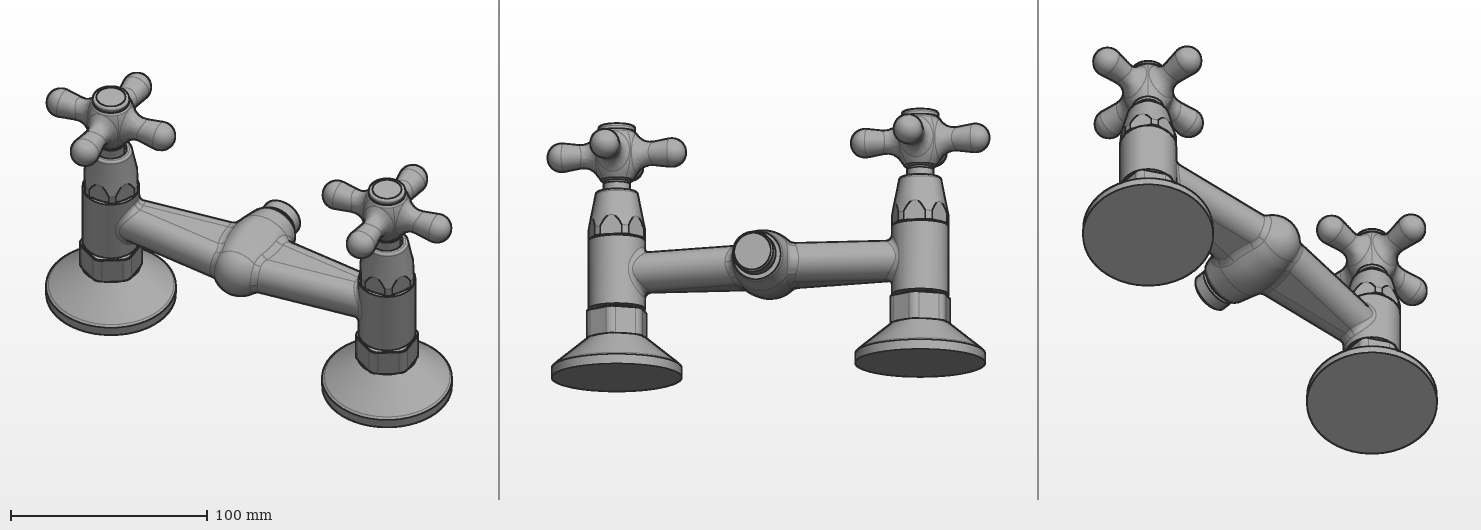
import cadquery as cq
import math

COLUMN_SPACING = 158.0

FLANGE_RADIUS = 33.1
FLANGE_RIM_HEIGHT = 5.0
FLANGE_RIM_CHAMFER = 1.2
FLANGE_TOP_RADIUS = 15.2
FLANGE_HEIGHT = 20.0

NUT_APOTHEM = 14.4
NUT_CORNER_FILLET = 5.0
NUT_CHAMFER = 0.4
NUT_TOP = 34.2
NUT_TURN = 30.0
NECK_RADIUS = 10.5

COLUMN_RADIUS = 14.5
COLUMN_BOTTOM = 35.6
COLUMN_TOP = 72.0
COLUMN_CHAMFER = 0.9

BONNET_APOTHEM = 13.4
BONNET_STRAIGHT_TOP = 76.6
BONNET_TOP = 96.4
BONNET_TOP_RADIUS = 10.6
BONNET_EDGE_FILLET = 1.5
RECESS_RADIUS = 8.1
RECESS_DEPTH = 3.0
STEM_RADIUS = 6.8
STEM_TOP = 100.6

BAR_Z = 53.9
BAR_RADIUS = 10.0
BAR_SPREAD_ANGLE = 6.2
COLUMN_FILLET = 3.0
BARREL_FILLET = 5.5

NOSE_RADIUS = 14.3
NOSE_TIP_Y = -23.1
NOSE_END_Y = -12.9
BELLY_Y = 2.0
BELLY_RADIUS = 16.6
SHOULDER_Y = 16.0
SHOULDER_RADIUS = 15.6
BARREL_END_Y = 27.4
BARREL_END_RADIUS = 13.1
BARREL_END_CHAMFER = 1.4
OUTLET_NECK_RADIUS = 9.0
OUTLET_COLLAR_Y = 29.3
OUTLET_COLLAR_RADIUS = 10.5
OUTLET_COLLAR_CHAMFER = 1.0
OUTLET_END_Y = 37.5

ARM_COUNT = 4
HANDLE_REACH = 36.0
ARM_Z = 115.8
KNOB_RADIUS = 7.4
ARM_TAPER_ANGLE = 8.5
ARM_FILLET = 9.0
HUB_FOOT_TOP = 101.7
HUB_BOTTOM = 102.6
HUB_BOTTOM_RADIUS = 8.0
HUB_RADIUS = 12.8
HUB_RIM_Z = 126.7
HUB_RIM_RADIUS = 10.1
CAP_BASE_Z = 127.8
CAP_NECK_RADIUS = 9.0
CAP_RADIUS = 9.35
CAP_SHOULDER_Z = 129.4
CAP_DOME_RADIUS = 7.4
CAP_DOME_HEIGHT = 0.6
HANDLE_TOP = 131.2

SEAM_TOLERANCE = 0.001

COLUMN_X = COLUMN_SPACING / 2
COLUMN_POSITIONS = (-COLUMN_X, COLUMN_X)


def turned(profile):
    """Close a half profile and revolve it about the upright axis of its own plane."""
    return profile.close().revolve(360, (0, 0), (0, 1))


def hexagon_prism(apothem, bottom, top):
    """Hexagonal prism between two heights, with a vertex on the X axis."""
    corner_diameter = 2 * apothem / math.cos(math.pi / 6)
    return cq.Workplane("XY").workplane(offset=bottom).polygon(6, corner_diameter).extrude(top - bottom)


def make_flange():
    profile = cq.Workplane("XZ").polyline([
        (0, 0),
        (FLANGE_RADIUS, 0),
        (FLANGE_RADIUS, FLANGE_RIM_HEIGHT),
        (FLANGE_RADIUS - FLANGE_RIM_CHAMFER, FLANGE_RIM_HEIGHT + FLANGE_RIM_CHAMFER),
        (FLANGE_TOP_RADIUS, FLANGE_HEIGHT),
        (0, FLANGE_HEIGHT),
    ])
    return turned(profile)


def make_nut():
    nut = hexagon_prism(NUT_APOTHEM, FLANGE_HEIGHT, NUT_TOP)
    nut = nut.edges("|Z").fillet(NUT_CORNER_FILLET)
    nut = nut.faces(">Z").chamfer(NUT_CHAMFER)
    return nut.rotate((0, 0, 0), (0, 0, 1), NUT_TURN)


def make_column():
    """Neck above the nut and the plain round column."""
    profile = cq.Workplane("XZ").polyline([
        (0, NUT_TOP),
        (NECK_RADIUS, NUT_TOP),
        (NECK_RADIUS, COLUMN_BOTTOM),
        (COLUMN_RADIUS, COLUMN_BOTTOM),
        (COLUMN_RADIUS, COLUMN_TOP - COLUMN_CHAMFER),
        (COLUMN_RADIUS - COLUMN_CHAMFER, COLUMN_TOP),
        (0, COLUMN_TOP),
    ])
    return turned(profile)


def make_bonnet():
    profile = cq.Workplane("XZ").polyline([
        (0, COLUMN_TOP),
        (COLUMN_RADIUS, COLUMN_TOP),
        (COLUMN_RADIUS, BONNET_STRAIGHT_TOP),
        (BONNET_TOP_RADIUS, BONNET_TOP),
        (0, BONNET_TOP),
    ])
    bonnet = turned(profile).faces(">Z").edges().fillet(BONNET_EDGE_FILLET)
    bonnet = bonnet.intersect(hexagon_prism(BONNET_APOTHEM, COLUMN_TOP, BONNET_TOP))
    recess_floor = BONNET_TOP - RECESS_DEPTH
    floor_plane = cq.Workplane("XY").workplane(offset=recess_floor)
    recess = floor_plane.circle(RECESS_RADIUS).extrude(RECESS_DEPTH)
    stem = floor_plane.circle(STEM_RADIUS).extrude(STEM_TOP - recess_floor)
    return bonnet.cut(recess).union(stem)


def make_center_barrel():
    """Rounded nose, bulging belly, tapered shoulder and outlet collar in one turning."""
    nose_center_y = NOSE_TIP_Y + NOSE_RADIUS
    nose_end_radius = math.sqrt(NOSE_RADIUS**2 - (NOSE_END_Y - nose_center_y) ** 2)
    nose_mid = NOSE_RADIUS * math.sqrt(0.5)
    collar_edge_radius = OUTLET_COLLAR_RADIUS - OUTLET_COLLAR_CHAMFER
    profile = (
        cq.Workplane("XY")
        .moveTo(0, NOSE_TIP_Y)
        .threePointArc((nose_mid, nose_center_y - nose_mid), (nose_end_radius, NOSE_END_Y))
        .threePointArc((BELLY_RADIUS, BELLY_Y), (SHOULDER_RADIUS, SHOULDER_Y))
        .lineTo(BARREL_END_RADIUS, BARREL_END_Y - BARREL_END_CHAMFER)
        .lineTo(BARREL_END_RADIUS - BARREL_END_CHAMFER / 2, BARREL_END_Y)
        .lineTo(OUTLET_NECK_RADIUS, BARREL_END_Y)
        .lineTo(OUTLET_NECK_RADIUS, OUTLET_COLLAR_Y)
        .lineTo(collar_edge_radius, OUTLET_COLLAR_Y)
        .lineTo(OUTLET_COLLAR_RADIUS, OUTLET_COLLAR_Y + OUTLET_COLLAR_CHAMFER)
        .lineTo(OUTLET_COLLAR_RADIUS, OUTLET_END_Y - OUTLET_COLLAR_CHAMFER)
        .lineTo(collar_edge_radius, OUTLET_END_Y)
        .lineTo(0, OUTLET_END_Y)
    )
    return turned(profile).translate((0, 0, BAR_Z))


def make_bar_half(side):
    """Flat-topped bar with round edges, widening from the column axis to the middle."""
    half_width = COLUMN_X * math.tan(math.radians(BAR_SPREAD_ANGLE))
    start = cq.Vector(side * COLUMN_X, 0, BAR_Z)
    bar = (
        cq.Workplane("XY")
        .workplane(offset=BAR_Z - BAR_RADIUS)
        .polyline([(start.x, 0), (0, half_width), (0, -half_width)])
        .close()
        .extrude(2 * BAR_RADIUS)
    )
    for end_y in (-half_width, half_width):
        run = cq.Vector(0, end_y, BAR_Z) - start
        bar = bar.union(cq.Workplane(cq.Solid.makeCylinder(BAR_RADIUS, run.Length, start, run)))
    return bar


def fillet_between(first, second, radius):
    """Join two shapes and fillet the seam, the edges whose middles touch both of them."""
    joined = first.union(second)

    def on_seam(edge):
        middle = cq.Vertex.makeVertex(*edge.positionAt(0.5).toTuple())
        return all(middle.distance(part.val()) < SEAM_TOLERANCE for part in (first, second))

    seam = [edge for edge in joined.edges().vals() if on_seam(edge)]
    return joined.newObject(seam).fillet(radius)


def make_mixer():
    bar = make_bar_half(-1).union(make_bar_half(1))
    barrel = make_center_barrel()
    body = fillet_between(bar, barrel, BARREL_FILLET)
    for x in COLUMN_POSITIONS:
        column = make_column().translate((x, 0, 0))
        body = fillet_between(body, column, COLUMN_FILLET)
    for x in COLUMN_POSITIONS:
        for piece in (make_flange(), make_nut(), make_bonnet()):
            body = body.union(piece.translate((x, 0, 0)))
    return body


def make_hub():
    profile = (
        cq.Workplane("XZ")
        .moveTo(0, STEM_TOP)
        .lineTo(STEM_RADIUS, STEM_TOP)
        .lineTo(STEM_RADIUS, HUB_FOOT_TOP)
        .lineTo(HUB_BOTTOM_RADIUS, HUB_BOTTOM)
        .threePointArc((HUB_RADIUS, ARM_Z), (HUB_RIM_RADIUS, HUB_RIM_Z))
        .lineTo(CAP_NECK_RADIUS, CAP_BASE_Z)
        .lineTo(0, CAP_BASE_Z)
    )
    return turned(profile)


def make_cap():
    """Round-shouldered cap with a shallow domed face on top of the hub."""
    dome_base_z = HANDLE_TOP - CAP_DOME_HEIGHT
    dome_sphere_radius = (CAP_DOME_RADIUS**2 + CAP_DOME_HEIGHT**2) / (2 * CAP_DOME_HEIGHT)
    profile = (
        cq.Workplane("XZ")
        .moveTo(0, CAP_BASE_Z)
        .lineTo(CAP_RADIUS, CAP_BASE_Z)
        .lineTo(CAP_RADIUS, CAP_SHOULDER_Z)
        .tangentArcPoint((CAP_DOME_RADIUS, dome_base_z), relative=False)
        .radiusArc((0, HANDLE_TOP), -dome_sphere_radius)
    )
    return turned(profile)


def make_arm():
    """Cone along +X that widens outwards and runs smoothly into a ball end."""
    taper = math.radians(ARM_TAPER_ANGLE)
    ball_center = HANDLE_REACH - KNOB_RADIUS
    joint_x = ball_center - KNOB_RADIUS * math.sin(taper)
    joint_radius = KNOB_RADIUS * math.cos(taper)
    ball_mid = KNOB_RADIUS * math.sqrt(0.5)
    profile = (
        cq.Workplane("XY")
        .lineTo(0, joint_radius - joint_x * math.tan(taper))
        .lineTo(joint_x, joint_radius)
        .threePointArc((ball_center + ball_mid, ball_mid), (HANDLE_REACH, 0))
        .close()
    )
    return profile.revolve(360, (0, 0), (1, 0)).translate((0, 0, ARM_Z))


def make_handle():
    """Quarters of the hub, each with its filleted arm, joined around the stem axis."""
    hub = make_hub().rotate((0, 0, 0), (0, 0, 1), 180)
    arm = make_arm()
    quarter = fillet_between(hub, arm, ARM_FILLET)
    sector_half_width = HANDLE_REACH * math.tan(math.pi / ARM_COUNT)
    sector = (
        cq.Workplane("XY")
        .polyline([(0, 0), (HANDLE_REACH, -sector_half_width), (HANDLE_REACH, sector_half_width)])
        .close()
        .extrude(HANDLE_TOP)
    )
    quarter = quarter.intersect(sector)
    handle = quarter
    for i in range(1, ARM_COUNT):
        handle = handle.union(quarter.rotate((0, 0, 0), (0, 0, 1), i * 360 / ARM_COUNT))
    return handle.union(make_cap())


mixer = make_mixer()
handle = make_handle()
handles = [handle.translate((x, 0, 0)).val() for x in COLUMN_POSITIONS]
result = cq.Compound.makeCompound([mixer.val(), *handles])